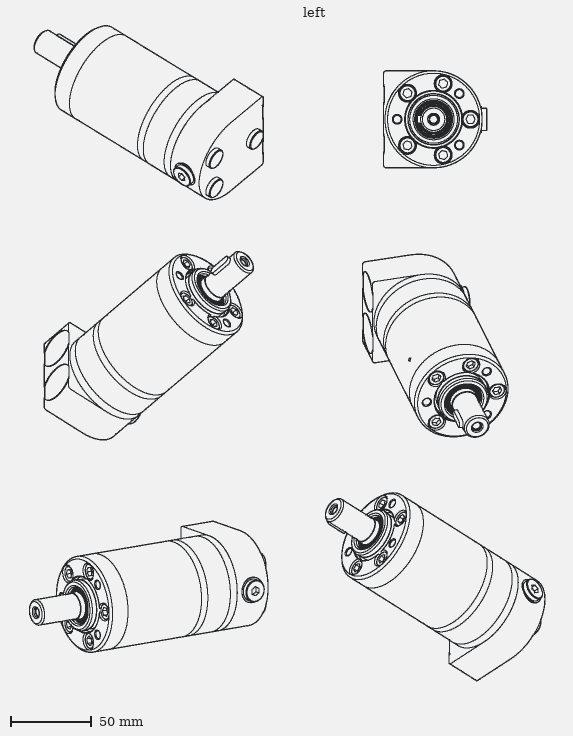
import cadquery as cq
import math


boss_front = 30.5
cover_front = 35.4
housing_front = 48.6
inner_plate_front = 104.0
gear_set_front = 108.7
outer_plate_front = 125.6
end_block_front = 130.8
end_block_back = 154.1
motor_back = 157.2
body_dia = 60.0
body_radius = body_dia / 2

shaft_dia = 16.0
shaft_chamfer = 1.1
collar_dia = 17.0
collar_front = 28.1
centre_hole_dia = 4.9
centre_hole_thread_dia = 6.0
centre_hole_mouth_dia = 7.4
centre_hole_thread_depth = 1.9
centre_hole_depth = 9.5
drill_point_angle = 118
key_length = 16.0
key_width = 5.0
key_front = 4.4
key_bottom = 5.0
key_top = 10.0

cover_chamfer = 1.5
boss_dia = 31.8
boss_chamfer = 1.1
groove_outer_dia = 35.9
groove_wall_dia = 34.9
groove_inner_dia = 31.1
groove_depth = 4.0
groove_neck_front = 34.9
seal_mouth_dia = 25.3
seal_seat_dia = 23.5
seal_seat_depth = 3.0
seal_ring_dias = (22.3, 21.0, 19.8, 18.4)
seal_ring_step = 0.5
seal_clearance_dia = 17.3
seal_clearance_depth = 4.0
bolt_circle_radius = 22.8
bolt_angles = (0, 75, 135, 225, 285)
bolt_pocket_dia = 11.0
bolt_pocket_depth = 6.9
bolt_head_dia = 10.0
bolt_head_recess = 1.0
bolt_head_chamfer = 0.5
mount_circle_radius = 22.5
mount_angles = (45, 180, 315)
mount_hole_dia = 4.9
mount_hole_mouth_dia = 6.0

socket_flats = 5.0
socket_depth = 3.1
socket_corners = socket_flats / math.cos(math.pi / 6)

vent_dia = 2.0
vent_x = 62.6
vent_angle = 150
vent_depth = 2.4

block_flat_y = 31.0
block_corner = 1.9
block_mid_x = (end_block_front + end_block_back) / 2
port_spotface_dia = 25.3
port_spotface_depth = 0.5
port_spacing = 30.7
plug_dia = 13.8
plug_chamfer = 0.5
plug_top_y = -33.0
plug_seat_dia = 16.0
plug_seat_y = -29.7
plug_seat_height = 1.5
screw_head_dia = 13.0
screw_head_chamfer = 0.5
screw_circle_radius = 21.4
screw_angles = (37, 180, 323)


def disc(start, end, diameter):
    """A cylinder on the motor axis between two X stations."""
    return cq.Workplane("YZ").workplane(offset=start).circle(diameter / 2).extrude(end - start)


def cone(start, end, start_dia, end_dia):
    """A cone frustum on the motor axis between two X stations."""
    solid = cq.Solid.makeCone(
        start_dia / 2, end_dia / 2, end - start, cq.Vector(start, 0, 0), cq.Vector(1, 0, 0)
    )
    return cq.Workplane("XY").newObject([solid])


def place_around(tool, radius, angle):
    """Move a tool from the motor axis out to a radius and swing it to an angle from -Y."""
    return tool.translate((0, -radius, 0)).rotate((0, 0, 0), (1, 0, 0), -angle)


def make_shaft():
    shaft = disc(0, collar_front, shaft_dia).faces("<X").chamfer(shaft_chamfer)
    shaft = shaft.union(disc(collar_front, housing_front, collar_dia))

    key = (
        cq.Workplane("XZ", origin=(key_front + key_length / 2, key_top, 0))
        .slot2D(key_length, key_width)
        .extrude(key_top - key_bottom)
    )
    shaft = shaft.union(key)

    mouth_depth = (centre_hole_mouth_dia - centre_hole_thread_dia) / 2
    point_length = centre_hole_dia / 2 / math.tan(math.radians(drill_point_angle / 2))
    shaft = shaft.cut(cone(0, mouth_depth, centre_hole_mouth_dia, centre_hole_thread_dia))
    shaft = shaft.cut(disc(0, centre_hole_thread_depth, centre_hole_thread_dia))
    shaft = shaft.cut(disc(0, centre_hole_depth, centre_hole_dia))
    return shaft.cut(cone(centre_hole_depth, centre_hole_depth + point_length, centre_hole_dia, 0))


def make_seal_bore():
    """The stepped opening around the shaft, as a cutting tool."""
    mouth_depth = (seal_mouth_dia - seal_seat_dia) / 2
    floor = boss_front + seal_seat_depth
    bore = cone(boss_front, boss_front + mouth_depth, seal_mouth_dia, seal_seat_dia)
    bore = bore.union(disc(boss_front, floor, seal_seat_dia))

    for number, ring_dia in enumerate(seal_ring_dias, start=1):
        bore = bore.cut(disc(floor - number * seal_ring_step, floor, ring_dia))

    bore = bore.union(disc(boss_front, boss_front + seal_clearance_depth, seal_clearance_dia))
    return bore.union(disc(boss_front, housing_front, collar_dia))


def make_bolt_head():
    top = cover_front + bolt_head_recess
    head = disc(top, cover_front + bolt_pocket_depth, bolt_head_dia)
    head = head.faces("<X").chamfer(bolt_head_chamfer)
    socket = cq.Workplane("YZ").workplane(offset=top).polygon(6, socket_corners).extrude(socket_depth)
    return head.cut(socket)


def make_mount_hole():
    mouth_depth = (mount_hole_mouth_dia - mount_hole_dia) / 2
    hole = disc(cover_front, housing_front, mount_hole_dia)
    return hole.union(cone(cover_front, cover_front + mouth_depth, mount_hole_mouth_dia, mount_hole_dia))


def make_front_cover():
    cover = disc(cover_front, housing_front, body_dia).faces("<X").chamfer(cover_chamfer)
    groove_lip = (groove_outer_dia - groove_wall_dia) / 2
    cover = cover.cut(disc(cover_front, cover_front + groove_depth, groove_wall_dia))
    cover = cover.cut(cone(cover_front, cover_front + groove_lip, groove_outer_dia, groove_wall_dia))

    bolt_pocket = disc(cover_front, cover_front + bolt_pocket_depth, bolt_pocket_dia)
    bolt_head = make_bolt_head()
    for angle in bolt_angles:
        cover = cover.cut(place_around(bolt_pocket, bolt_circle_radius, angle))
        cover = cover.union(place_around(bolt_head, bolt_circle_radius, angle))

    mount_hole = make_mount_hole()
    for angle in mount_angles:
        cover = cover.cut(place_around(mount_hole, mount_circle_radius, angle))

    boss = disc(boss_front, groove_neck_front, boss_dia).faces("<X").chamfer(boss_chamfer)
    boss = boss.union(disc(groove_neck_front, cover_front + groove_depth, groove_inner_dia))
    return cover.union(boss).cut(make_seal_bore())


def make_spool_housing():
    housing = disc(housing_front, inner_plate_front, body_dia)
    vent = (
        cq.Workplane("XZ", origin=(vent_x, vent_depth, 0))
        .circle(vent_dia / 2)
        .extrude(2 * vent_depth)
    )
    return housing.cut(place_around(vent, body_radius, vent_angle))


def make_plug():
    plug = (
        cq.Workplane("XZ", origin=(block_mid_x, plug_seat_y, 0))
        .circle(plug_dia / 2)
        .extrude(plug_seat_y - plug_top_y)
        .faces("<Y")
        .chamfer(plug_chamfer)
    )
    socket = (
        cq.Workplane("XZ", origin=(block_mid_x, plug_top_y + socket_depth, 0))
        .transformed(rotate=(0, 0, 90))
        .polygon(6, socket_corners)
        .extrude(socket_depth)
    )
    return plug.cut(socket)


def make_end_block():
    length = end_block_back - end_block_front
    shoulder = (
        cq.Workplane("XY")
        .box(length, block_flat_y, body_dia, centered=(True, False, True))
        .translate((block_mid_x, 0, 0))
        .edges("|X and >Y")
        .fillet(block_corner)
    )
    block = disc(end_block_front, end_block_back, body_dia).union(shoulder)

    port_spotfaces = (
        cq.Workplane("XZ", origin=(block_mid_x, block_flat_y, 0))
        .pushPoints([(0, -port_spacing / 2), (0, port_spacing / 2)])
        .circle(port_spotface_dia / 2)
        .extrude(port_spotface_depth)
    )
    block = block.cut(port_spotfaces)

    seat_relief = (
        cq.Workplane("XZ", origin=(block_mid_x, plug_seat_y, 0))
        .circle(plug_seat_dia / 2)
        .extrude(plug_seat_y - plug_top_y)
    )
    seat_pad = (
        cq.Workplane("XZ", origin=(block_mid_x, plug_seat_y + plug_seat_height, 0))
        .circle(plug_seat_dia / 2)
        .extrude(plug_seat_height)
    )
    block = block.cut(seat_relief).union(seat_pad).union(make_plug())

    screw_head = disc(end_block_back, motor_back, screw_head_dia).faces(">X").chamfer(screw_head_chamfer)
    for angle in screw_angles:
        block = block.union(place_around(screw_head, screw_circle_radius, angle))
    return block


shaft = make_shaft()
front_cover = make_front_cover()
spool_housing = make_spool_housing()
inner_plate = disc(inner_plate_front, gear_set_front, body_dia)
gear_set = disc(gear_set_front, outer_plate_front, body_dia)
outer_plate = disc(outer_plate_front, end_block_front, body_dia)
end_block = make_end_block()

result = cq.Compound.makeCompound(
    [
        shaft.val(),
        front_cover.val(),
        spool_housing.val(),
        inner_plate.val(),
        gear_set.val(),
        outer_plate.val(),
        end_block.val(),
    ]
)